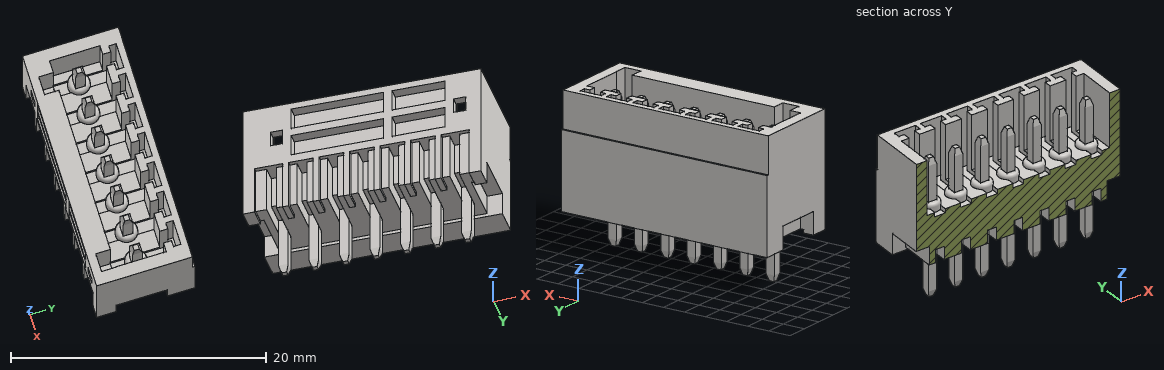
import cadquery as cq


PIN_COUNT = 7
ROW_SPAN = 15.0
PITCH = ROW_SPAN / (PIN_COUNT - 1)
PIN_WIDTH = 0.8
PIN_Y = 3.94
PIN_TOP = 9.3
PIN_BOTTOM = -3.53
TIP_LENGTH = 0.6
TIP_WIDTH = 0.43
PIN_XS = [(i - (PIN_COUNT - 1) / 2) * PITCH for i in range(PIN_COUNT)]
FIRST_PIN_X = PIN_XS[0]
LAST_PIN_X = PIN_XS[-1]

LENGTH = 19.5
DEPTH = 8.1
HEIGHT = 10.06
BACK_STEP = 0.2
BACK_STEP_Z = 6.82

CAVITY_LENGTH = 17.45
CAVITY_FRONT_Y = 1.91
CAVITY_BACK_Y = 6.05
CAVITY_FLOOR_Z = 5.0

SLOT_WIDTH = 2.0
KEYWAY_NECK_WIDTH = 1.0
KEYWAY_HEAD_Y = 6.7
KEYWAY_BACK_Y = 7.31
KEYWAY_GROOVE_DEPTH = 0.39
KEYWAY_FLOOR_Z = CAVITY_FLOOR_Z - KEYWAY_GROOVE_DEPTH

COLLAR_DIAMETER = 1.8
COLLAR_FILLET = 0.3
COLLAR_HEIGHT = 0.39
COLLAR_TOP_Z = CAVITY_FLOOR_Z + COLLAR_HEIGHT

LATCH_XS = [x + SLOT_WIDTH / 4 for x in (FIRST_PIN_X, LAST_PIN_X)]
LATCH_POCKET_WIDTH = 1.5
LATCH_POCKET_FRONT_Y = 0.72
LATCH_POCKET_FLOOR_Z = 5.5
WINDOW_WIDTH = 1.0
WINDOW_BOTTOM_Z = 6.24
WINDOW_TOP_Z = 7.55

LABEL_LEFT_X = -5.8
LABEL_WIDTHS = (7.57, 4.33)
LABEL_ROWS = 2
LABEL_HEIGHT = 1.9
LABEL_GAP = 0.7
LABEL_TOP_Z = 9.45
LABEL_DEPTH = 0.88

CHANNEL_FRONT_Y = 1.62
CHANNEL_BACK_Y = 5.83
STANDOFF = 0.3
NOTCH_TOP_Z = 1.99
CORE_END_X = LAST_PIN_X + SLOT_WIDTH / 2
FRONT_SLOT_TOP_Z = 4.25
FRONT_SLOT_DEPTH = 0.35
END_SLOT_EXTRA = 0.3
PIN_OPENING_TOP_Z = 1.5


def box(x0, x1, y0, y1, z0, z1):
    """Block between the given X, Y and Z limits."""
    return cq.Workplane("XY").box(x1 - x0, y1 - y0, z1 - z0, centered=False).translate((x0, y0, z0))


def box_at_x(x, width, y0, y1, z0, z1):
    """Block of the given width centred on x."""
    return box(x - width / 2, x + width / 2, y0, y1, z0, z1)


def square_prism(width, z0, z1):
    """Square prism on the axis of a pin at X = 0."""
    return box_at_x(0, width, PIN_Y - width / 2, PIN_Y + width / 2, z0, z1)


def housing_block():
    block = box_at_x(0, LENGTH, 0, DEPTH, 0, HEIGHT)
    return block.cut(box_at_x(0, LENGTH, DEPTH - BACK_STEP, DEPTH, BACK_STEP_Z, HEIGHT))


def cut_cavity(body):
    body = body.cut(box_at_x(0, CAVITY_LENGTH, CAVITY_FRONT_Y, CAVITY_BACK_Y, CAVITY_FLOOR_Z, HEIGHT))
    for x in PIN_XS:
        neck = box_at_x(x, KEYWAY_NECK_WIDTH, CAVITY_FRONT_Y, KEYWAY_HEAD_Y, KEYWAY_FLOOR_Z, HEIGHT)
        head = box_at_x(x, SLOT_WIDTH, KEYWAY_HEAD_Y, KEYWAY_BACK_Y, KEYWAY_FLOOR_Z, HEIGHT)
        body = body.cut(neck).cut(head)
    return body


def cut_latches(body):
    for x in LATCH_XS:
        pocket = box_at_x(
            x, LATCH_POCKET_WIDTH, LATCH_POCKET_FRONT_Y, CAVITY_FRONT_Y, LATCH_POCKET_FLOOR_Z, HEIGHT
        )
        window = box_at_x(x, WINDOW_WIDTH, 0, LATCH_POCKET_FRONT_Y, WINDOW_BOTTOM_Z, WINDOW_TOP_Z)
        body = body.cut(pocket).cut(window)
    return body


def cut_labels(body):
    for row in range(LABEL_ROWS):
        top = LABEL_TOP_Z - row * (LABEL_HEIGHT + LABEL_GAP)
        left = LABEL_LEFT_X
        for width in LABEL_WIDTHS:
            body = body.cut(box(left, left + width, 0, LABEL_DEPTH, top - LABEL_HEIGHT, top))
            left += width + LABEL_GAP
    return body


def cut_underside(body):
    body = body.cut(box_at_x(0, LENGTH, CHANNEL_FRONT_Y, CHANNEL_BACK_Y, 0, STANDOFF))
    for x0, x1 in ((-LENGTH / 2, -CORE_END_X), (CORE_END_X, LENGTH / 2)):
        body = body.cut(box(x0, x1, CHANNEL_FRONT_Y, CHANNEL_BACK_Y, 0, NOTCH_TOP_Z))
    return body


def cut_front_slots(body):
    for x in PIN_XS:
        left = x - SLOT_WIDTH / 2
        right = x + SLOT_WIDTH / 2
        if x == FIRST_PIN_X:
            left -= END_SLOT_EXTRA
        if x == LAST_PIN_X:
            right += END_SLOT_EXTRA
        slot = box(left, right, 0, FRONT_SLOT_DEPTH, 0, FRONT_SLOT_TOP_Z)
        foot_gap = box(left, right, 0, CHANNEL_FRONT_Y, 0, STANDOFF)
        groove = box_at_x(x, PIN_WIDTH, 0, CHANNEL_FRONT_Y, 0, FRONT_SLOT_TOP_Z)
        opening = box_at_x(x, PIN_WIDTH, 0, PIN_Y, 0, PIN_OPENING_TOP_Z)
        body = body.cut(slot).cut(foot_gap).cut(groove).cut(opening)
    return body


def add_collars(body):
    collar = (
        cq.Workplane("XY", origin=(0, PIN_Y, KEYWAY_FLOOR_Z))
        .circle(COLLAR_DIAMETER / 2)
        .extrude(COLLAR_TOP_Z - KEYWAY_FLOOR_Z)
        .faces(">Z")
        .edges()
        .fillet(COLLAR_FILLET)
    )
    for x in PIN_XS:
        body = body.union(collar.translate((x, 0, 0)))
    return body


def cut_pin_holes(body):
    hole = square_prism(PIN_WIDTH, 0, HEIGHT)
    for x in PIN_XS:
        body = body.cut(hole.translate((x, 0, 0)))
    return body


def make_housing():
    body = housing_block()
    body = cut_cavity(body)
    body = cut_latches(body)
    body = cut_labels(body)
    body = cut_underside(body)
    body = cut_front_slots(body)
    body = add_collars(body)
    return cut_pin_holes(body)


def pin_tip(base_z, length):
    """Square tip that narrows from base_z; a negative length points it down."""
    return (
        cq.Workplane("XY", origin=(0, PIN_Y, base_z))
        .rect(PIN_WIDTH, PIN_WIDTH)
        .workplane(offset=length)
        .rect(TIP_WIDTH, TIP_WIDTH)
        .loft(ruled=True)
    )


def make_pin(x):
    shank_bottom = PIN_BOTTOM + TIP_LENGTH
    shank_top = PIN_TOP - TIP_LENGTH
    pin = square_prism(PIN_WIDTH, shank_bottom, shank_top)
    pin = pin.union(pin_tip(shank_top, TIP_LENGTH)).union(pin_tip(shank_bottom, -TIP_LENGTH))
    return pin.translate((x, 0, 0))


housing = make_housing()
pins = [make_pin(x).val() for x in PIN_XS]

result = cq.Compound.makeCompound([housing.val(), *pins])